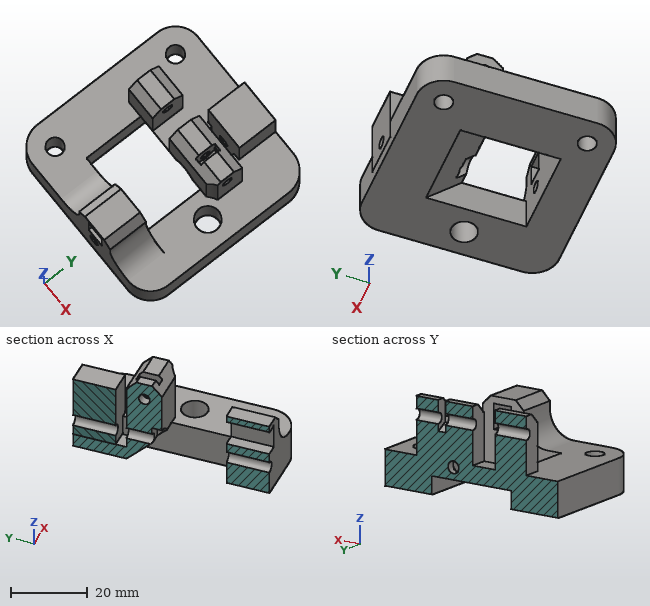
import cadquery as cq
import math

plate_size = 55.0
plate_height = 10.0
corner_radius = 7.5
corner_hole_diameter = 5.0
large_hole_diameter = 7.2
large_hole_y = 26.5

window_left = 15.0
window_right = 40.0
window_front = 12.0
window_rear = 30.0

tower_left = 27.0
tower_right = window_right
tower_top = 22.0
tower_chamfer = 2.5
tower_flare_radius = 7.5
opening_left = 31.0
opening_right = 36.5
opening_bottom = 13.0
opening_top = 20.0

left_lug_span = (10.0, 20.0)
right_lug_span = (tower_left, 45.0)
lug_depth = 10.0
lug_rear = window_rear + lug_depth
lug_top = 26.0
lug_chamfer = 2.8
pin_hole_diameter = 3.0
pin_y = window_rear + lug_depth / 2
pin_z = lug_top - lug_depth / 2

nut_across_flats = 6.0
nut_slot_length = 6.4
nut_slot_left = 35.8
nut_slot_width = 2.2

relief_x = 48.0
relief_y = 25.0
relief_radius = 7.4

screw_x = 33.25
screw_z = 8.5
screw_hole_diameter = 3.25
counterbore_diameter = 7.2
counterbore_depth = 2.8

block_left = tower_left
block_right = tower_right
block_front = 43.0
block_top = tower_top
block_gap = 0.2
pocket_front = block_front - block_gap
pocket_floor = 4.0

channel_width = 9.25


def make_box(x_range, y_range, z_range):
    """Box that fills the given ranges along X, Y and Z."""
    lengths = [high - low for low, high in (x_range, y_range, z_range)]
    corner = (x_range[0], y_range[0], z_range[0])
    return cq.Workplane("XY").box(*lengths, centered=False).translate(corner)


def make_screw_bore(diameter, y_start, y_end):
    """Cylinder on the screw axis."""
    plane = cq.Workplane("XZ", origin=(screw_x, y_start, screw_z))
    return plane.circle(diameter / 2).extrude(y_start - y_end)


def make_vertical_hole(diameter, x, y):
    """Cylinder through the full height of the plate."""
    return cq.Workplane("XY").center(x, y).circle(diameter / 2).extrude(plate_height)


def make_plate():
    """Rounded plate with the window, the undercut and the vertical holes."""
    full_height = (0, plate_height)
    plate = make_box((0, plate_size), (0, plate_size), full_height).edges("|Z").fillet(corner_radius)
    plate = plate.cut(make_box((window_left, window_right), (window_front, window_rear), full_height))

    undercut = (
        cq.Workplane("YZ", origin=(window_left, 0, 0))
        .moveTo(window_rear, 0)
        .lineTo(window_rear + plate_height, 0)
        .lineTo(window_rear, plate_height)
        .close()
        .extrude(window_right - window_left)
    )
    plate = plate.cut(undercut)

    corner_hole_x = corner_radius
    large_hole_x = plate_size - corner_radius
    for y in (corner_radius, plate_size - corner_radius):
        plate = plate.cut(make_vertical_hole(corner_hole_diameter, corner_hole_x, y))
    return plate.cut(make_vertical_hole(large_hole_diameter, large_hole_x, large_hole_y))


def make_tower():
    """Front tower with chamfered top corners and concave flared feet."""
    flare_top = plate_height + tower_flare_radius
    shoulder = tower_top - tower_chamfer
    tower = (
        cq.Workplane("XZ")
        .moveTo(tower_left - tower_flare_radius, plate_height)
        .radiusArc((tower_left, flare_top), -tower_flare_radius)
        .lineTo(tower_left, shoulder)
        .lineTo(tower_left + tower_chamfer, tower_top)
        .lineTo(tower_right - tower_chamfer, tower_top)
        .lineTo(tower_right, shoulder)
        .lineTo(tower_right, flare_top)
        .radiusArc((tower_right + tower_flare_radius, plate_height), -tower_flare_radius)
        .close()
        .extrude(-window_front)
    )
    opening = make_box((opening_left, opening_right), (0, window_front), (opening_bottom, opening_top))
    return tower.cut(opening)


def make_lug(x_range):
    """Hinge lug with a chamfered top and a pin hole along X."""
    lug = make_box(x_range, (window_rear, lug_rear), (plate_height, lug_top))
    lug = lug.edges("|X and >Z").chamfer(lug_chamfer)
    pin_hole = (
        cq.Workplane("YZ", origin=(x_range[0], pin_y, pin_z))
        .circle(pin_hole_diameter / 2)
        .extrude(x_range[1] - x_range[0])
    )
    return lug.cut(pin_hole)


def make_nut_trap():
    """Hexagon around the pin axis, one corner down, open to the top of the lug."""
    across_corners = nut_across_flats / math.cos(math.pi / 6)
    hexagon = (
        cq.Workplane("YZ", origin=(nut_slot_left, pin_y, pin_z))
        .polygon(6, across_corners)
        .extrude(nut_slot_width)
        .rotate((0, pin_y, pin_z), (1, pin_y, pin_z), 30)
    )
    slot = make_box(
        (nut_slot_left, nut_slot_left + nut_slot_width),
        (pin_y - nut_slot_length / 2, pin_y + nut_slot_length / 2),
        (pin_z, lug_top),
    )
    return hexagon.union(slot)


def make_right_lug():
    """Lug with the nut trap and the round corner relief."""
    relief = (
        cq.Workplane("XY", origin=(relief_x, relief_y, plate_height))
        .circle(relief_radius)
        .extrude(lug_top - plate_height)
    )
    return make_lug(right_lug_span).cut(make_nut_trap()).cut(relief)


def make_base():
    """Plate, tower and lugs in one solid, cut for the block and the screw."""
    base = make_plate().union(make_tower()).union(make_lug(left_lug_span)).union(make_right_lug())
    depth = (pocket_floor, plate_height)
    pocket = make_box((block_left, block_right), (pocket_front, plate_size), depth)
    channel = make_box(
        (screw_x - channel_width / 2, screw_x + channel_width / 2),
        (lug_rear, pocket_front),
        depth,
    )
    counterbore = make_screw_bore(counterbore_diameter, window_rear, window_rear + counterbore_depth)
    screw_hole = make_screw_bore(screw_hole_diameter, 0, plate_size)
    return base.cut(pocket).cut(channel).cut(counterbore).cut(screw_hole)


def make_block():
    """Rear block with the screw hole through it."""
    block = make_box((block_left, block_right), (block_front, plate_size), (pocket_floor, block_top))
    return block.cut(make_screw_bore(screw_hole_diameter, block_front, plate_size))


base = make_base()
block = make_block()

result = cq.Compound.makeCompound([base.solids().val(), block.solids().val()])